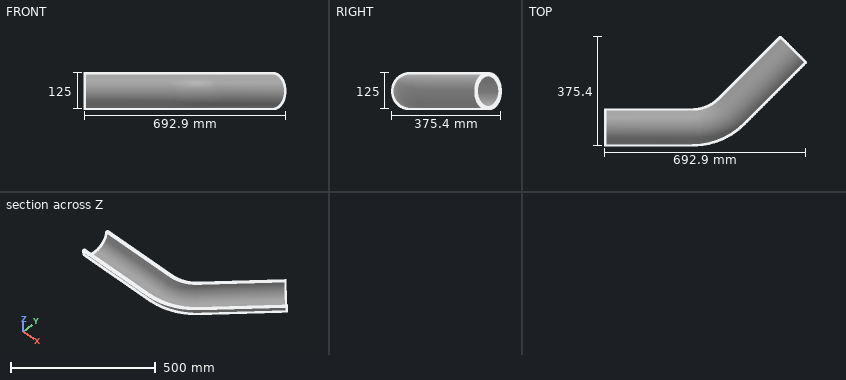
import cadquery as cq
import math

OUTER_DIAMETER = 125.0
BORE_DIAMETER = 110.2
BEND_ANGLE = 45.0
BEND_RADIUS = 1.5 * OUTER_DIAMETER
LEG_LENGTH = 380.0

TANGENT_LENGTH = BEND_RADIUS * math.tan(math.radians(BEND_ANGLE / 2))
STRAIGHT_LENGTH = LEG_LENGTH - TANGENT_LENGTH


def annulus(plane):
    """Pipe wall section drawn on the given plane."""
    return cq.Workplane(plane).circle(OUTER_DIAMETER / 2).circle(BORE_DIAMETER / 2)


def pipe_plane(origin, direction):
    """Plane square to the pipe axis, with its local Y along world Z."""
    across = direction.cross(cq.Vector(0, 0, 1)).multiply(-1)
    return cq.Plane(origin=origin, xDir=across, normal=direction)


def inlet_straight():
    """Straight along +X that ends at the start of the bend, at the origin."""
    start = cq.Vector(-STRAIGHT_LENGTH, 0, 0)
    return annulus(pipe_plane(start, cq.Vector(1, 0, 0))).extrude(STRAIGHT_LENGTH)


def bend():
    """Elbow that turns the pipe axis from +X towards +Y."""
    section = annulus(cq.Plane.YZ())
    return section.revolve(BEND_ANGLE, (BEND_RADIUS, 0, 0), (BEND_RADIUS, 1, 0))


def outlet_straight():
    """Straight that leaves the bend along the turned axis."""
    angle = math.radians(BEND_ANGLE)
    start = cq.Vector(BEND_RADIUS * math.sin(angle), BEND_RADIUS * (1 - math.cos(angle)), 0)
    direction = cq.Vector(math.cos(angle), math.sin(angle), 0)
    return annulus(pipe_plane(start, direction)).extrude(STRAIGHT_LENGTH)


result = inlet_straight().union(bend()).union(outlet_straight())